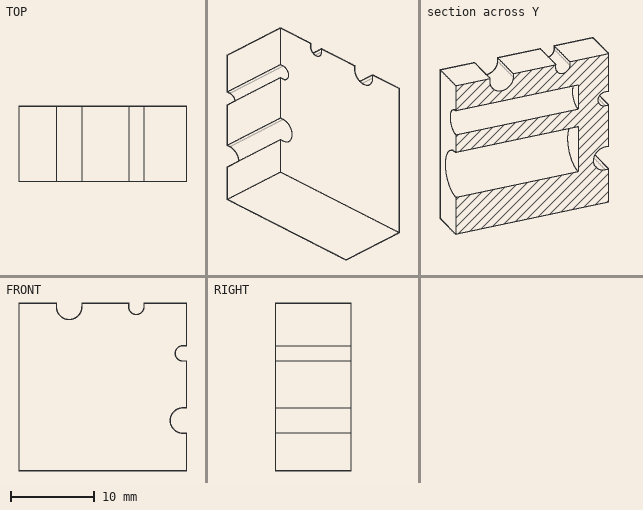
import cadquery as cq

side = 20.0
thickness = 9.0
half_side = side / 2

groove_offset = 4.0
large_groove_width = 3.0
large_groove_depth = 1.95
small_groove_width = 1.8
small_groove_depth = 1.35

large_hole_diameter = 6.0
large_hole_z = -2.0
small_hole_diameter = 3.2
small_hole_z = 5.0
hole_depth = 16.0


def top_groove(x, width, depth):
    """Groove along Y, open at the top face, with straight walls and a half-round floor."""
    radius = width / 2
    arc_z = half_side - depth + radius
    return (
        cq.Workplane("XZ")
        .moveTo(x - radius, half_side)
        .lineTo(x - radius, arc_z)
        .threePointArc((x, half_side - depth), (x + radius, arc_z))
        .lineTo(x + radius, half_side)
        .close()
        .extrude(thickness / 2, both=True)
    )


def blind_hole(z, diameter):
    """Flat-bottomed hole running in +X from the -X face."""
    return (
        cq.Workplane("YZ", origin=(-half_side, 0, z))
        .circle(diameter / 2)
        .extrude(hole_depth)
    )


result = cq.Workplane("XY").box(side, thickness, side)

top_grooves = [
    top_groove(-groove_offset, large_groove_width, large_groove_depth),
    top_groove(groove_offset, small_groove_width, small_groove_depth),
]
for groove in top_grooves:
    side_groove = groove.rotate((0, 0, 0), (0, 1, 0), 90).mirror("XY")
    result = result.cut(groove).cut(side_groove)

result = result.cut(blind_hole(large_hole_z, large_hole_diameter))
result = result.cut(blind_hole(small_hole_z, small_hole_diameter))